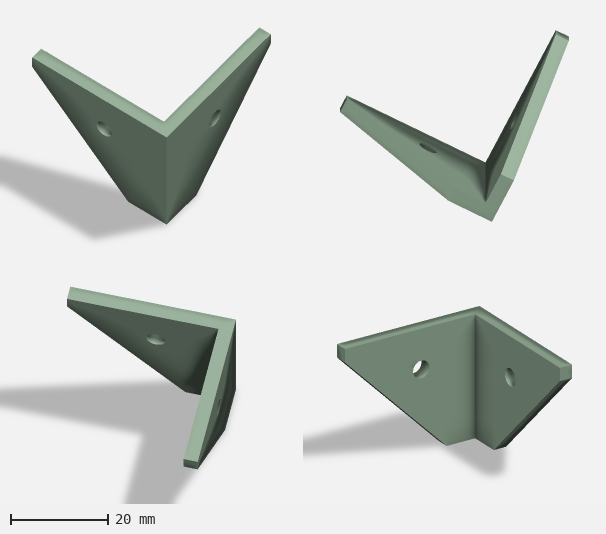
import cadquery as cq

length = 35.0
height = 28.0
thickness = 3.0
tip_height = thickness
foot_length = length - (height - tip_height)
hole_diameter = 4.0
hole_from_corner = 16.25
hole_from_top = 9.2


def plate(plane, outward):
    """Tapered plate with a through hole, growing thickness along the plane normal.

    outward is the direction (+1 or -1) along the plane's local x, away from the corner.
    """
    outline = [
        (0, 0),
        (outward * foot_length, 0),
        (outward * length, height - tip_height),
        (outward * length, height),
        (0, height),
    ]
    body = cq.Workplane(plane).polyline(outline).close().extrude(thickness)
    hole = (
        cq.Workplane(plane)
        .center(outward * hole_from_corner, height - hole_from_top)
        .circle(hole_diameter / 2)
        .extrude(thickness)
    )
    return body.cut(hole)


front_plane = cq.Plane(origin=(0, 0, 0), xDir=(-1, 0, 0), normal=(0, 1, 0))
side_plane = cq.Plane(origin=(0, 0, 0), xDir=(0, -1, 0), normal=(-1, 0, 0))

result = plate(front_plane, 1).union(plate(side_plane, -1))